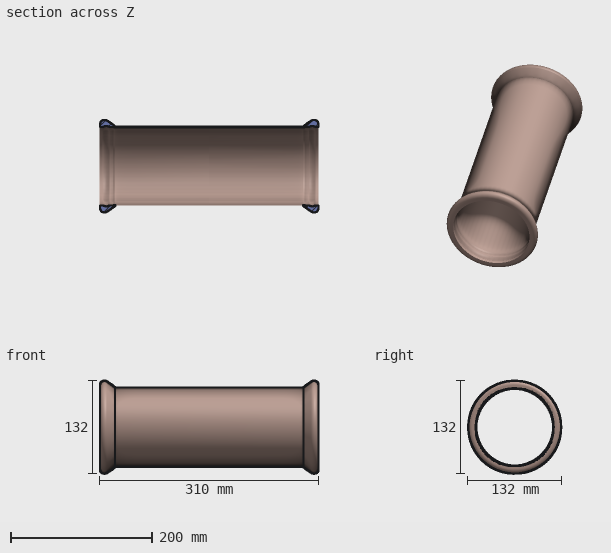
import cadquery as cq
import math

length = 310.0
tube_diameter = 112.8
bore_diameter = 108.8

bead_diameter = 132.0
bead_radius = 6.5
bead_arc_end = 9.5
bead_flare_end = 21.7

mouth_diameter = 110.7
mouth_depth = 19.0
taper_end = 21.7

groove_start = 4.3
groove_end = 13.5
groove_depth = 1.2

half_length = length / 2
tube_radius = tube_diameter / 2
bore_radius = bore_diameter / 2
mouth_radius = mouth_diameter / 2
groove_middle = (groove_start + groove_end) / 2
bead_centre_radius = bead_diameter / 2 - bead_radius


def bead_point(angle):
    """Depth and radius of a bead point, angle measured from outward radial."""
    return (
        bead_radius + bead_radius * math.sin(angle),
        bead_centre_radius + bead_radius * math.cos(angle),
    )


start_angle = -math.pi / 2
tangent_angle = math.asin((bead_arc_end - bead_radius) / bead_radius)
flare_start = bead_point(tangent_angle)
flare_end = (bead_flare_end, tube_radius)

run = flare_end[0] - flare_start[0]
drop = flare_start[1] - flare_end[1]
chord = math.hypot(run, drop)
bulge = chord / 2 * math.tan((math.atan2(drop, run) - tangent_angle) / 2)
flare_middle = (
    (flare_start[0] + flare_end[0]) / 2 + bulge * drop / chord,
    (flare_start[1] + flare_end[1]) / 2 + bulge * run / chord,
)


def make_end(side):
    """Solid end of the sleeve; side is -1 for the -X end and +1 for the +X end."""

    def place(point):
        depth, radius = point
        return (side * (half_length - depth), radius)

    profile = (
        cq.Workplane("XY")
        .moveTo(*place((0, mouth_radius)))
        .lineTo(*place((0, bead_centre_radius)))
        .threePointArc(
            place(bead_point((start_angle + tangent_angle) / 2)),
            place(flare_start),
        )
        .threePointArc(place(flare_middle), place(flare_end))
        .lineTo(*place((half_length, tube_radius)))
        .lineTo(*place((half_length, bore_radius)))
        .lineTo(*place((taper_end, bore_radius)))
        .lineTo(*place((mouth_depth, mouth_radius)))
        .lineTo(*place((groove_end, mouth_radius)))
        .threePointArc(
            place((groove_middle, mouth_radius + groove_depth)),
            place((groove_start, mouth_radius)),
        )
        .close()
    )
    return profile.revolve(360, (0, 0, 0), (1, 0, 0))


result = make_end(-1).union(make_end(1)).clean()